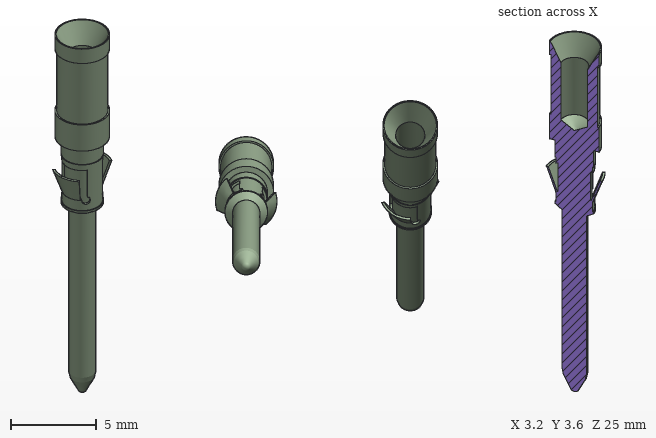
import cadquery as cq
import math

length = 25.0
collar_bottom = 24.0
flange_top = 19.7
flange_bottom = 17.88
neck_bottom = 16.68
ring_top = 13.45
ring_bottom = 13.3
shoulder_bottom = 12.98
pin_end = 1.48
taper_top = 1.1
nose_top = 0.2

flange_radius = 1.6
barrel_radius = 1.5
neck_radius = 1.25
sleeve_radius = 1.2
core_radius = 1.05
pin_radius = 0.8
taper_radius = 0.72
nose_radius = 0.28
nose_sphere_radius = (nose_radius**2 + nose_top**2) / (2 * nose_top)

funnel_radius = 1.52
funnel_depth = 1.35
bore_radius = 0.85
bore_depth = 5.5
drill_point_half_angle = 59.0

tine_angles = (-95.0, 85.0)
tine_half_angle = 34.0
tine_root = 14.15
tine_top = 15.85
tine_tip_radius = 1.8
sleeve_thickness = sleeve_radius - core_radius
window_half_angle = 55.0
window_top = 16.25
relief_half_angle = 51.0
relief_height = 14.12
relief_radius = 0.25


def sector(section, center_angle, half_angle):
    """Sweep a closed (radius, height) section about Z, centred on an angle."""
    swept = cq.Workplane("XZ").polyline(section).close().revolve(2 * half_angle, (0, 0), (0, 1))
    middle = swept.val().Center()
    swept_angle = math.degrees(math.atan2(middle.y, middle.x))
    return swept.rotate((0, 0, 0), (0, 0, 1), center_angle - swept_angle)


def turned_body():
    return (
        cq.Workplane("XZ")
        .moveTo(0, 0)
        .radiusArc((nose_radius, nose_top), -nose_sphere_radius)
        .lineTo(taper_radius, taper_top)
        .lineTo(pin_radius, pin_end)
        .lineTo(pin_radius, shoulder_bottom)
        .lineTo(neck_radius, ring_bottom)
        .lineTo(neck_radius, ring_top)
        .lineTo(sleeve_radius, ring_top)
        .lineTo(sleeve_radius, neck_bottom)
        .lineTo(neck_radius, neck_bottom)
        .lineTo(neck_radius, flange_bottom)
        .lineTo(flange_radius, flange_bottom)
        .lineTo(flange_radius, flange_top)
        .lineTo(barrel_radius, flange_top)
        .lineTo(barrel_radius, collar_bottom)
        .lineTo(flange_radius, collar_bottom)
        .lineTo(flange_radius, length)
        .lineTo(0, length)
        .close()
        .revolve(360, (0, 0), (0, 1))
    )


def wire_socket():
    bore_bottom = length - bore_depth
    point_depth = bore_radius / math.tan(math.radians(drill_point_half_angle))
    outline = [
        (0, length),
        (funnel_radius, length),
        (bore_radius, length - funnel_depth),
        (bore_radius, bore_bottom),
        (0, bore_bottom - point_depth),
    ]
    return cq.Workplane("XZ").polyline(outline).close().revolve(360, (0, 0), (0, 1))


def window(angle):
    """Opening through the sleeve with a round relief at each lower corner."""
    section = [
        (core_radius, tine_root),
        (neck_radius, tine_root),
        (neck_radius, window_top),
        (core_radius, window_top),
    ]
    opening = sector(section, angle, window_half_angle)
    core = cq.Workplane("XY").circle(core_radius).extrude(length)
    for side in (-1, 1):
        relief = (
            cq.Workplane("YZ")
            .center(0, relief_height)
            .circle(relief_radius)
            .extrude(neck_radius)
            .rotate((0, 0, 0), (0, 0, 1), angle + side * relief_half_angle)
        )
        opening = opening.union(relief.cut(core))
    return opening


def tine(angle):
    """Flared conical strip standing on the lower edge of its window."""
    section = [
        (core_radius, tine_root),
        (sleeve_radius, tine_root),
        (tine_tip_radius, tine_top),
        (tine_tip_radius - sleeve_thickness, tine_top),
    ]
    return sector(section, angle, tine_half_angle)


result = turned_body().cut(wire_socket())
for tine_angle in tine_angles:
    result = result.cut(window(tine_angle)).union(tine(tine_angle))